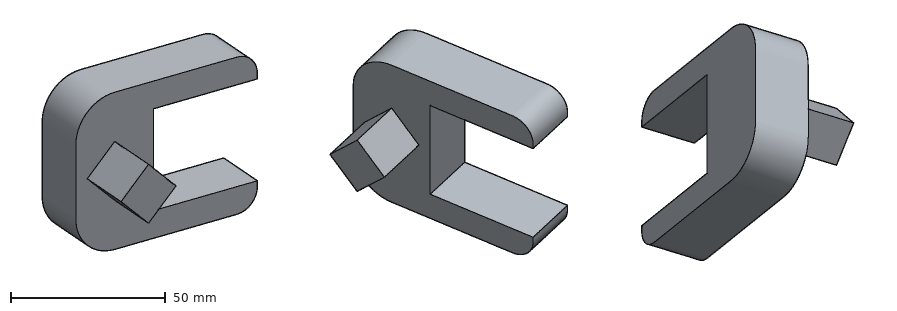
import cadquery as cq

body_thickness = 20.0
slot_width = 36.6
slot_depth = 40.0
arm_height = 10.0
web_length = 30.0
web_corner_radius = 15.0
arm_tip_radius = 8.0

shank_side = 15.0
shank_length = 20.0
shank_angle = 45.0

body_length = web_length + slot_depth
body_height = slot_width + 2 * arm_height
shank_center_y = web_length / 2


def make_body():
    """Plate with its web end at Y = 0 and its outer corners rounded."""
    return (
        cq.Workplane("XY")
        .box(body_thickness, body_length, body_height, centered=(False, False, True))
        .edges("|X and <Y")
        .fillet(web_corner_radius)
        .edges("|X and >Y")
        .fillet(arm_tip_radius)
    )


def make_slot():
    """Square-cornered opening between the two arms."""
    return (
        cq.Workplane("XY")
        .box(body_thickness, slot_depth, slot_width, centered=(False, False, True))
        .translate((0, web_length, 0))
    )


def make_shank():
    """Square drive shank centred on the web."""
    return (
        cq.Workplane("YZ", origin=(body_thickness, shank_center_y, 0))
        .transformed(rotate=(0, 0, shank_angle))
        .rect(shank_side, shank_side)
        .extrude(shank_length)
    )


result = make_body().cut(make_slot()).union(make_shank())